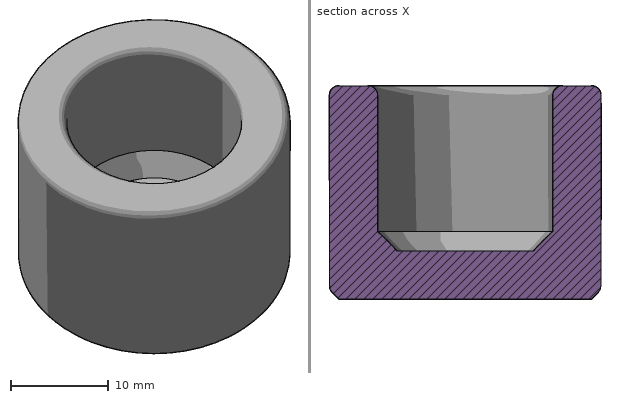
import cadquery as cq

outer_diameter = 28.0
height = 22.0
bore_diameter = 18.0
floor_diameter = 14.0
edge_size = 1.0

outer_radius = outer_diameter / 2
bore_radius = bore_diameter / 2
floor_radius = floor_diameter / 2
wall = outer_radius - bore_radius
floor_height = wall
cone_height = bore_radius - floor_radius


def make_body():
    """Solid cylinder with a rounded top rim and a chamfered, blended bottom rim."""
    body = cq.Workplane("XY").circle(outer_radius).extrude(height)
    body = body.faces(">Z").edges().fillet(edge_size)
    body = body.faces("<Z").edges().chamfer(edge_size)
    chamfer_top = cq.selectors.BoxSelector(
        (-outer_diameter, -outer_diameter, edge_size / 2),
        (outer_diameter, outer_diameter, edge_size * 3 / 2),
    )
    return body.edges("%CIRCLE").edges(chamfer_top).fillet(edge_size)


def make_bore():
    """Blind bore narrowing through a cone to a flat floor."""
    return (
        cq.Workplane("XZ")
        .moveTo(0, floor_height)
        .lineTo(floor_radius, floor_height)
        .lineTo(bore_radius, floor_height + cone_height)
        .lineTo(bore_radius, height)
        .lineTo(0, height)
        .close()
        .revolve(360, (0, 0), (0, 1))
    )


def round_bore_mouth(part):
    """Round the inner edge of the annular top face."""
    return part.faces(">Z").edges(cq.selectors.RadiusNthSelector(0)).fillet(edge_size)


result = round_bore_mouth(make_body().cut(make_bore()))